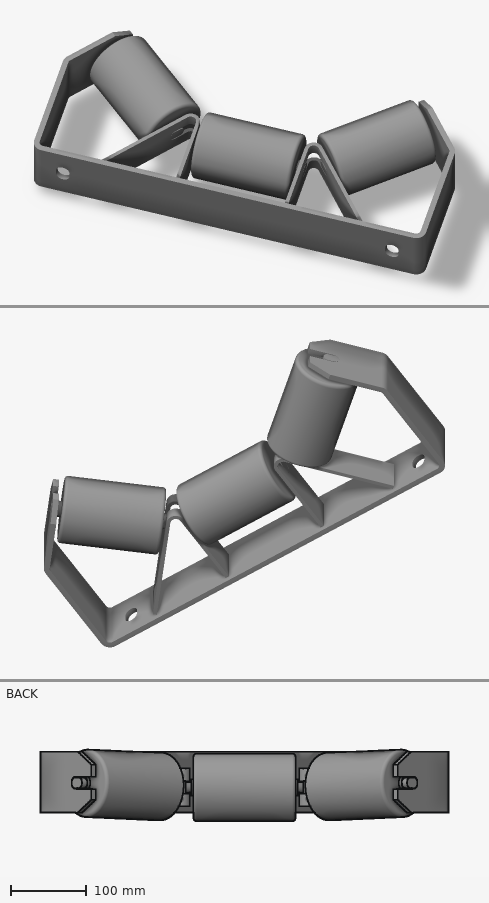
import cadquery as cq
import math

FRAME_LENGTH = 540.0
FRAME_HEIGHT = 81.0
FRAME_THICKNESS = 7.5
FRAME_BEND_RADIUS = 13.5
SIDE_TOP_Y = 148.5
ARM_LENGTH = 100.0
ARM_CORNER_ALONG = 28.0
ARM_CORNER_HEIGHT = 17.5
MOUNT_SLOT_X = 227.0
MOUNT_SLOT_WIDTH = 18.5
MOUNT_SLOT_HEIGHT = 26.0

BRACKET_THICKNESS = 5.0
BRACKET_BEND_RADIUS = 12.5
BRACKET_FACE_X = 72.5
BRACKET_LEG_TOP_Y = 117.0
BRACKET_HEIGHT = 50.0

ROLLER_DIAMETER = 89.5
ROLLER_LENGTH = 135.0
ROLLER_FILLET = 4.5
AXLE_DIAMETER = 21.5
AXLE_FLAT_HEIGHT = 14.0
SHOULDER_GAP = 1.5
SLOT_HEIGHT = 16.0
MIDDLE_ROLLER_Y = 101.0
MIDDLE_ROLLER_Z = 33.5
SIDE_ROLLER_X = 159.5
SIDE_ROLLER_Y = 158.0
SIDE_ROLLER_Z = 36.5
SWING = 40.0
TILT = 2.0

SWING_COS = math.cos(math.radians(SWING))
SWING_SIN = math.sin(math.radians(SWING))
ARM_DIRECTION = cq.Vector(SWING_SIN, SWING_COS)
ARM_NORMAL = cq.Vector(-SWING_COS, SWING_SIN)

FRAME_CORNER_X = -FRAME_LENGTH / 2 + FRAME_BEND_RADIUS
ARM_BEND_CENTER = cq.Vector(FRAME_CORNER_X, SIDE_TOP_Y)
ARM_START = ARM_BEND_CENTER + ARM_NORMAL * FRAME_BEND_RADIUS
BRACKET_BEND_CENTER = cq.Vector(-BRACKET_FACE_X - BRACKET_BEND_RADIUS, BRACKET_LEG_TOP_Y)
LEG_FACE = BRACKET_BEND_CENTER + ARM_NORMAL * (BRACKET_BEND_RADIUS - BRACKET_THICKNESS)

SIDE_CENTER = cq.Vector(-SIDE_ROLLER_X, SIDE_ROLLER_Y)
SIDE_AXLE_OUTER = (ARM_START - SIDE_CENTER).dot(ARM_NORMAL)
SIDE_AXLE_INNER = (SIDE_CENTER - LEG_FACE).dot(ARM_NORMAL)
MIDDLE_AXLE_END = BRACKET_FACE_X + BRACKET_THICKNESS


def mirrored(body):
    """Right-hand twin of a left-hand body."""
    return body.mirror("YZ")


def place_left(body):
    """Move a body from the roller's own axes to the left roller."""
    return (
        body.rotate((0, 0, 0), (0, 1, 0), TILT)
        .rotate((0, 0, 0), (0, 0, 1), -SWING)
        .translate((-SIDE_ROLLER_X, SIDE_ROLLER_Y, SIDE_ROLLER_Z))
    )


def place_middle(body):
    """Move a body from the roller's own axes to the middle roller."""
    return body.translate((0, MIDDLE_ROLLER_Y, MIDDLE_ROLLER_Z))


def round_bar(start, end, diameter):
    """Round bar along X."""
    return cq.Workplane("YZ", origin=(start, 0, 0)).circle(diameter / 2).extrude(end - start)


def obround_bar(start, end, height):
    """Bar along X, flat above and below and round at the sides, as wide as the axle."""
    return cq.Workplane("YZ", origin=(start, 0, 0)).slot2D(AXLE_DIAMETER, height).extrude(end - start)


def axle_slot(start, end, reach):
    """Slot that takes the axle end and runs from it towards +Y."""
    run = cq.Workplane("XY").box(end - start, reach, SLOT_HEIGHT, centered=(False, False, True))
    return obround_bar(start, end, SLOT_HEIGHT).union(run.translate((start, 0, 0)))


def roller(axle_start, axle_end, start_strip, end_strip):
    """Roller along X; its axle is flatted where it lies in the two strips, of the given thicknesses."""
    neck_start = axle_start + start_strip + SHOULDER_GAP
    neck_end = axle_end - end_strip - SHOULDER_GAP
    shell = round_bar(-ROLLER_LENGTH / 2, ROLLER_LENGTH / 2, ROLLER_DIAMETER).edges().fillet(ROLLER_FILLET)
    neck = round_bar(neck_start, neck_end, AXLE_DIAMETER)
    return shell.union(neck).union(obround_bar(axle_start, axle_end, AXLE_FLAT_HEIGHT))


def left_half_strip():
    """Left half of the frame strip, from the middle of the web to the arm tip."""
    r = FRAME_BEND_RADIUS
    t = FRAME_THICKNESS
    corner = cq.Vector(FRAME_CORNER_X, r)
    diagonal = cq.Vector(-1, -1).normalized()
    half_normal = cq.Vector(-math.cos(math.radians(SWING / 2)), math.sin(math.radians(SWING / 2)))
    tip = ARM_START + ARM_DIRECTION * ARM_LENGTH

    def at(point):
        return (point.x, point.y)

    return (
        cq.Workplane("XY")
        .moveTo(0, 0)
        .lineTo(corner.x, 0)
        .threePointArc(at(corner + diagonal * r), (-FRAME_LENGTH / 2, r))
        .lineTo(-FRAME_LENGTH / 2, SIDE_TOP_Y)
        .threePointArc(at(ARM_BEND_CENTER + half_normal * r), at(ARM_START))
        .lineTo(*at(tip))
        .lineTo(*at(tip - ARM_NORMAL * t))
        .lineTo(*at(ARM_START - ARM_NORMAL * t))
        .threePointArc(at(ARM_BEND_CENTER + half_normal * (r - t)), (-FRAME_LENGTH / 2 + t, SIDE_TOP_Y))
        .lineTo(-FRAME_LENGTH / 2 + t, r)
        .threePointArc(at(corner + diagonal * (r - t)), (corner.x, t))
        .lineTo(0, t)
        .close()
        .extrude(FRAME_HEIGHT)
    )


def arm_corner_cuts():
    """Wedges that cut both corners of the left arm tip."""
    tip = ARM_START + ARM_DIRECTION * ARM_LENGTH
    plane = cq.Plane(origin=tip, xDir=-ARM_DIRECTION, normal=ARM_NORMAL)
    lower = [(0, 0), (ARM_CORNER_ALONG, 0), (0, ARM_CORNER_HEIGHT)]
    upper = [(x, FRAME_HEIGHT - y) for x, y in lower]
    cuts = cq.Workplane(plane).polyline(lower).close().extrude(FRAME_THICKNESS, both=True)
    return cuts.union(cq.Workplane(plane).polyline(upper).close().extrude(FRAME_THICKNESS, both=True))


def build_frame():
    """Bent frame with two mounting slots and an open axle slot in each arm."""
    left = left_half_strip().cut(arm_corner_cuts())
    mount_slot = (
        cq.Workplane("XZ", origin=(-MOUNT_SLOT_X, 0, FRAME_HEIGHT / 2))
        .slot2D(MOUNT_SLOT_HEIGHT, MOUNT_SLOT_WIDTH, 90)
        .extrude(-FRAME_THICKNESS)
    )
    left = left.cut(mount_slot)
    slot_start = -SIDE_AXLE_OUTER - FRAME_THICKNESS
    left = left.cut(place_left(axle_slot(slot_start, -ROLLER_LENGTH / 2, ARM_LENGTH)))
    return left.union(mirrored(left))


def build_left_bracket():
    """Bent strip with an upright leg, a sloping leg and an axle slot running over the bend."""
    r = BRACKET_BEND_RADIUS
    t = BRACKET_THICKNESS
    c = BRACKET_BEND_CENTER
    web_y = FRAME_THICKNESS
    half = math.radians((180 - SWING) / 2)
    crown = cq.Vector(math.cos(half), math.sin(half))
    inner_length = (LEG_FACE.y - web_y) / ARM_DIRECTION.y
    foot = LEG_FACE - ARM_DIRECTION * inner_length
    foot_outer = foot + ARM_NORMAL * t
    leg_top = LEG_FACE + ARM_NORMAL * t
    strip = (
        cq.Workplane("XY", origin=(0, 0, MIDDLE_ROLLER_Z - BRACKET_HEIGHT / 2))
        .moveTo(-BRACKET_FACE_X, web_y)
        .lineTo(-BRACKET_FACE_X, c.y)
        .threePointArc((c.x + r * crown.x, c.y + r * crown.y), (leg_top.x, leg_top.y))
        .lineTo(foot_outer.x, foot_outer.y)
        .lineTo(foot.x, foot.y)
        .lineTo(LEG_FACE.x, LEG_FACE.y)
        .threePointArc((c.x + (r - t) * crown.x, c.y + (r - t) * crown.y), (-BRACKET_FACE_X - t, c.y))
        .lineTo(-BRACKET_FACE_X - t, web_y)
        .close()
        .extrude(BRACKET_HEIGHT)
    )
    reach = BRACKET_LEG_TOP_Y
    inner_radius = r - t
    middle_slot = place_middle(axle_slot(c.x, 0, reach))
    side_slot = place_left(axle_slot(0, SIDE_AXLE_INNER + inner_radius, reach))
    return strip.cut(middle_slot).cut(side_slot)


frame = build_frame()
left_bracket = build_left_bracket()
middle_roller = place_middle(roller(-MIDDLE_AXLE_END, MIDDLE_AXLE_END, BRACKET_THICKNESS, BRACKET_THICKNESS))
left_roller = place_left(roller(-SIDE_AXLE_OUTER, SIDE_AXLE_INNER, FRAME_THICKNESS, BRACKET_THICKNESS))

bodies = [frame, middle_roller]
for left_body in (left_bracket, left_roller):
    bodies += [left_body, mirrored(left_body)]

result = cq.Compound.makeCompound([body.val() for body in bodies])